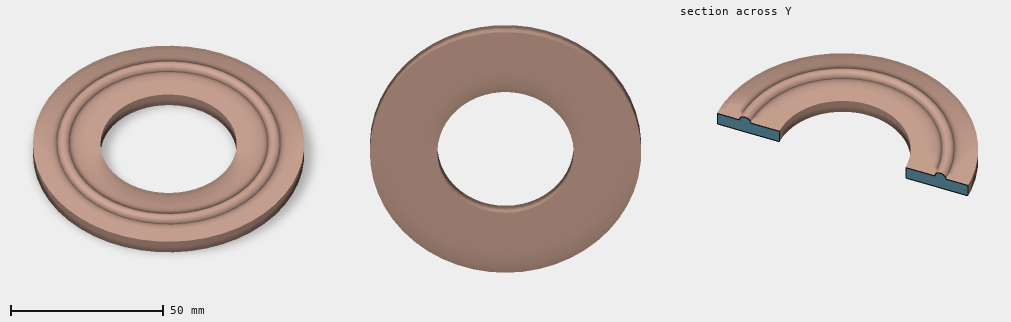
import cadquery as cq

outer_diameter = 89.0
bore_diameter = 44.7
total_height = 7.0
bead_width = 4.0
bead_centre_diameter = 69.2

bead_radius = bead_width / 2
bead_centre_radius = bead_centre_diameter / 2
plate_thickness = total_height - bead_radius


def make_plate():
    """Flat ring with a through bore, resting on Z = 0."""
    return (
        cq.Workplane("XY")
        .circle(outer_diameter / 2)
        .circle(bore_diameter / 2)
        .extrude(plate_thickness)
    )


def make_bead():
    """Ring of round section, centred on the plate's top face and half sunk into it."""
    return (
        cq.Workplane("XZ")
        .center(bead_centre_radius, plate_thickness)
        .circle(bead_radius)
        .revolve(360, (-bead_centre_radius, 0), (-bead_centre_radius, 1))
    )


result = make_plate().union(make_bead())